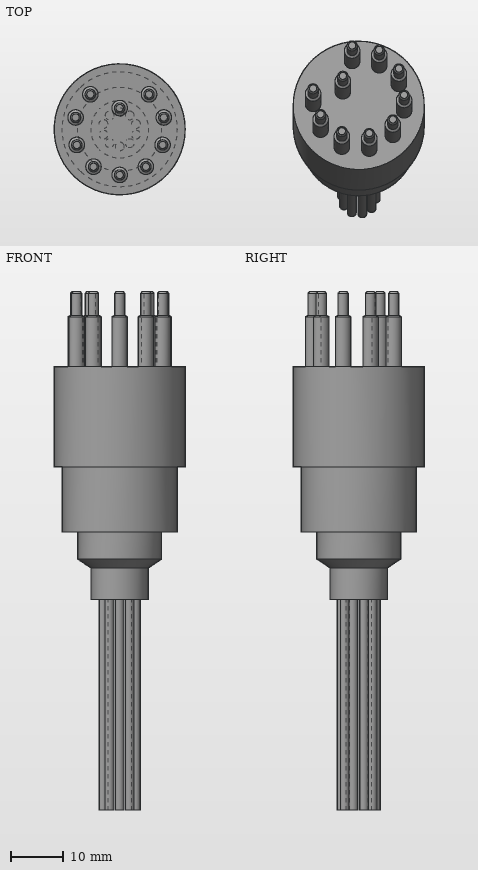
import cadquery as cq
import math

total_height = 99.0
collar_bottom = 40.2
cone_bottom = 46.2
cone_top = 47.9
sleeve_bottom = 53.1
head_bottom = 65.5
head_top = 84.6

collar_diameter = 11.0
neck_diameter = 16.0
sleeve_diameter = 22.0
head_diameter = 25.0

pin_diameter = 3.0
pin_shoulder = 94.1
shoulder_taper_height = 0.3
tip_diameter = 2.0
tip_chamfer_width = 0.3
tip_chamfer_height = 0.4
pin_circle_radius = 8.7
pin_spacing_angle = 35.0
ring_pin_count = 9
inner_pin_y = 4.1

wire_diameter = 1.7
wire_circle_radius = 3.3
wire_count = 10

joint_overlap = 1.0


def on_circle(radius, angle):
    """Point at the given angle, in degrees, on a circle about the part axis."""
    return radius * math.cos(math.radians(angle)), radius * math.sin(math.radians(angle))


def cylinder(point, diameter, bottom, top):
    """Vertical cylinder centred on an XY point, between two heights."""
    return cq.Workplane("XY", origin=(*point, bottom)).circle(diameter / 2).extrude(top - bottom)


def revolve_profile(profile):
    """Solid turned about Z from (radius, height) corners of a closed outline."""
    return cq.Workplane("XZ").polyline(profile).close().revolve(360, (0, 0), (0, 1))


def make_body():
    profile = [
        (0, collar_bottom),
        (collar_diameter / 2, collar_bottom),
        (collar_diameter / 2, cone_bottom),
        (neck_diameter / 2, cone_top),
        (neck_diameter / 2, sleeve_bottom),
        (sleeve_diameter / 2, sleeve_bottom),
        (sleeve_diameter / 2, head_bottom),
        (head_diameter / 2, head_bottom),
        (head_diameter / 2, head_top),
        (0, head_top),
    ]
    return revolve_profile(profile)


def make_pin(point):
    """Contact with a tapered shoulder and a chamfered tip, rooted slightly inside the head."""
    profile = [
        (0, head_top - joint_overlap),
        (pin_diameter / 2, head_top - joint_overlap),
        (pin_diameter / 2, pin_shoulder),
        (tip_diameter / 2, pin_shoulder + shoulder_taper_height),
        (tip_diameter / 2, total_height - tip_chamfer_height),
        (tip_diameter / 2 - tip_chamfer_width, total_height),
        (0, total_height),
    ]
    return revolve_profile(profile).translate((*point, 0))


first_pin_angle = -90 - pin_spacing_angle * (ring_pin_count - 1) / 2
pin_points = [
    on_circle(pin_circle_radius, first_pin_angle + i * pin_spacing_angle)
    for i in range(ring_pin_count)
]
pin_points.append((0, inner_pin_y))

wire_points = [
    on_circle(wire_circle_radius, -90 + i * 360 / wire_count) for i in range(wire_count)
]

result = make_body()
for pin_point in pin_points:
    result = result.union(make_pin(pin_point))
for wire_point in wire_points:
    result = result.union(cylinder(wire_point, wire_diameter, 0, collar_bottom + joint_overlap))